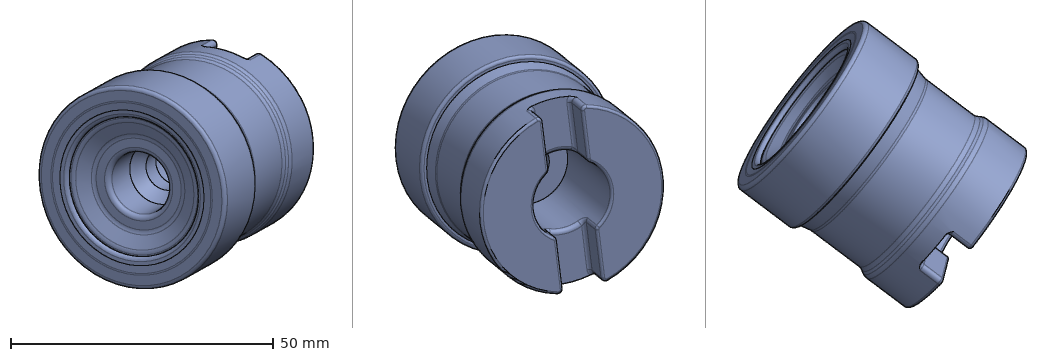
import cadquery as cq
import math


length = 40.05
tilt_about_x = -1.5
tilt_about_z = -2.2

flange_radius = 40.0 / 2
flange_depth = 13.15
flange_front_fillet = 0.8
flange_back_fillet = 0.65

waist_radius = 36.2 / 2
waist_end = 28.5
cone_radius = 37.6 / 2
cone_back_end = 16.2
cone_blend_radius = 2.35

collar_radius = 38 / 2
collar_start = 29.95
collar_step_fillet = 1.9
collar_rim_fillet = 0.55

dish_outer_radius = 34.0 / 2
dish_slope = math.radians(4.5)
dish_blend_half_width = 0.15
recess_depth = 1.13
cone_mouth_radius = 25.97 / 2
cone_floor_radius = 19.05 / 2
cone_floor_depth = 3.0
recess_cone_fillet = 1.9

front_bore_radius = 12.4 / 2
front_bore_end = 11.7
front_bore_fillet = 1.05
small_bore_radius = 8.4 / 2
small_bore_start = 14.6
rear_bore_radius = 16.0 / 2
rear_bore_start = 18.8

slot_width = 8.15
slot_depth = 5.65
slot_corner_fillet = 0.75
slot_edge_fillet = 0.9
slot_bore_fillet = 0.9
slot_roll = 7.5
slot_flare_run = 2.5

ring_outer_radius = 30.65 / 2
ring_inner_radius = 27.5 / 2
ring_fillet = 0.85


def dish_depth(radius):
    """Depth of the dished face behind the front plane at a given radius."""
    return (dish_outer_radius - radius) * math.tan(dish_slope)


def turned(profile):
    """Solid of revolution about the Y axis from an (r, y) outline."""
    return profile.close().revolve(360, (0, 0, 0), (0, 1, 0))


def edges_at(radius, depth):
    """Selector for the circular edge about the axis with this radius and depth."""
    gap = 0.01
    inner = radius - 0.13
    around = cq.selectors.BoxSelector(
        (-radius - gap, depth - gap, -radius - gap),
        (radius + gap, depth + gap, radius + gap),
        boundingbox=True,
    )
    inside = cq.selectors.BoxSelector(
        (-inner, depth - gap, -inner),
        (inner, depth + gap, inner),
        boundingbox=True,
    )
    return around - inside


def make_turned_housing():
    """Housing before the slot is cut."""
    blend_start = dish_outer_radius - dish_blend_half_width * math.cos(dish_slope)
    outline = (
        cq.Workplane("XY")
        .moveTo(small_bore_radius, small_bore_start)
        .lineTo(front_bore_radius, front_bore_end)
        .lineTo(front_bore_radius, cone_floor_depth)
        .lineTo(cone_floor_radius, cone_floor_depth)
        .lineTo(cone_mouth_radius, recess_depth)
        .lineTo(ring_outer_radius, recess_depth)
        .lineTo(ring_outer_radius, dish_depth(ring_outer_radius))
        .lineTo(blend_start, dish_depth(blend_start))
        .tangentArcPoint((dish_outer_radius + dish_blend_half_width, 0), relative=False)
        .lineTo(flange_radius, 0)
        .lineTo(flange_radius, flange_depth)
        .lineTo(cone_radius, flange_depth)
        .lineTo(waist_radius, cone_back_end)
        .lineTo(waist_radius, waist_end)
        .lineTo(collar_radius, collar_start)
        .lineTo(collar_radius, length)
        .lineTo(rear_bore_radius, length)
        .lineTo(rear_bore_radius, rear_bore_start)
        .lineTo(small_bore_radius, rear_bore_start)
    )
    return (
        turned(outline)
        .edges(edges_at(flange_radius, 0)).fillet(flange_front_fillet)
        .edges(edges_at(flange_radius, flange_depth)).fillet(flange_back_fillet)
        .edges(edges_at(collar_radius, collar_start)).fillet(collar_step_fillet)
        .edges(edges_at(waist_radius, waist_end)).fillet(collar_step_fillet)
        .edges(edges_at(waist_radius, cone_back_end)).fillet(cone_blend_radius)
        .edges(edges_at(front_bore_radius, cone_floor_depth)).fillet(front_bore_fillet)
        .edges(edges_at(cone_floor_radius, cone_floor_depth)).fillet(recess_cone_fillet)
        .edges(edges_at(cone_mouth_radius, recess_depth)).fillet(recess_cone_fillet)
    )


def make_slot_half():
    """Cutter for the slot's +Z side, with mouth corners that flare into the collar wall."""
    half = slot_width / 2
    flare_x = half + slot_edge_fillet
    flare_z = math.sqrt((collar_radius - slot_edge_fillet) ** 2 - flare_x**2)
    flare_angle = math.atan2(flare_z, flare_x)
    bisector = (math.pi + flare_angle) / 2
    mouth_x = collar_radius * math.cos(flare_angle)
    mouth_z = collar_radius * math.sin(flare_angle)
    arc_x = flare_x + slot_edge_fillet * math.cos(bisector)
    arc_z = flare_z + slot_edge_fillet * math.sin(bisector)
    far_x = mouth_x + slot_flare_run * math.sin(flare_angle)
    far_z = mouth_z - slot_flare_run * math.cos(flare_angle)
    outside = 1.2 * collar_radius
    cutter = (
        cq.Workplane("XZ", origin=(0, length + slot_depth, 0))
        .moveTo(-half, 0)
        .lineTo(half, 0)
        .lineTo(half, flare_z)
        .threePointArc((arc_x, arc_z), (mouth_x, mouth_z))
        .lineTo(far_x, far_z)
        .lineTo(far_x, outside)
        .lineTo(-far_x, outside)
        .lineTo(-far_x, far_z)
        .lineTo(-mouth_x, mouth_z)
        .threePointArc((-arc_x, arc_z), (-half, flare_z))
        .close()
        .extrude(2 * slot_depth)
    )

    def is_wall_edge(edge):
        center = edge.Center()
        return half - 0.05 < abs(center.x) < far_x - 0.05 and center.z < outside - 0.4

    return cutter.faces("<Y").edges().filter(is_wall_edge).fillet(slot_corner_fillet)


def make_housing():
    """Flanged housing with the rear slot cut and its rim rounded."""
    slot_half = make_slot_half()
    opposite_half = slot_half.rotate((0, 0, 0), (0, 1, 0), 180)
    bore_corners = cq.selectors.BoxSelector(
        (-rear_bore_radius, length - slot_depth, -rear_bore_radius),
        (rear_bore_radius, length, rear_bore_radius),
    )
    slotted = make_turned_housing().cut(slot_half).cut(opposite_half)
    slotted = slotted.edges("|Y").edges(bore_corners).fillet(slot_bore_fillet)
    slotted = slotted.faces(">Y").edges().fillet(collar_rim_fillet)
    return slotted.rotate((0, 0, 0), (0, 1, 0), slot_roll)


def make_ring():
    """Seal ring that fills the outer part of the recess and continues the dish."""
    inner_lip_depth = dish_depth(ring_inner_radius)
    outline = (
        cq.Workplane("XY")
        .moveTo(ring_inner_radius, recess_depth)
        .lineTo(ring_outer_radius, recess_depth)
        .lineTo(ring_outer_radius, dish_depth(ring_outer_radius))
        .lineTo(ring_inner_radius, inner_lip_depth)
    )
    return turned(outline).edges(edges_at(ring_inner_radius, inner_lip_depth)).fillet(ring_fillet)


def tilted(body):
    """Body turned from the Y axis to the part's slightly tilted axis."""
    about_x = body.rotate((0, 0, 0), (1, 0, 0), tilt_about_x)
    return about_x.rotate((0, 0, 0), (0, 0, 1), tilt_about_z)


housing = tilted(make_housing())
ring = tilted(make_ring())

result = cq.Compound.makeCompound([housing.val(), ring.val()])